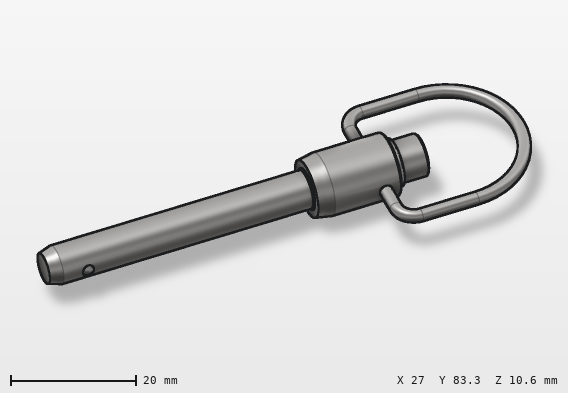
import cadquery as cq


shank_radius = 3.25
tip_radius = 2.6
tip_length = 2.2
root_flare = 0.25

ball_radius = 1.2
ball_y = 6.4
ball_reach = 3.75

body_radius = 5.3
body_start = 45.6
body_length = 14.3
body_end = body_start + body_length
taper_length = 2.75
taper_radius = 4.8
body_edge = 0.25

collar_base_radius = 4.3
collar_top_radius = 4.0
collar_length = 1.0
collar_end = body_end + collar_length
button_radius = 3.6
button_end = 65.4
button_edge = 0.25

overall_length = 83.3
ring_width = 27.0
wire_radius = 1.1
corner_radius = 3.1
arch_radius = ring_width / 2 - wire_radius
arch_center_y = overall_length - ring_width / 2
ring_base_y = 57.05


def make_pin():
    """Shank, body, collar and button as one revolved profile."""
    profile = (
        cq.Workplane("XY")
        .lineTo(tip_radius, 0)
        .lineTo(shank_radius, tip_length)
        .lineTo(shank_radius, body_start - root_flare)
        .lineTo(shank_radius + root_flare, body_start)
        .lineTo(taper_radius, body_start)
        .lineTo(body_radius, body_start + taper_length)
        .lineTo(body_radius, body_end - body_edge)
        .lineTo(body_radius - body_edge, body_end)
        .lineTo(collar_base_radius, body_end)
        .lineTo(collar_top_radius, collar_end)
        .lineTo(button_radius, collar_end)
        .lineTo(button_radius, button_end - button_edge)
        .lineTo(button_radius - button_edge, button_end)
        .lineTo(0, button_end)
        .close()
    )
    return profile.revolve(360, (0, 0, 0), (0, 1, 0))


def make_balls():
    """Pair of locking balls protruding from opposite sides of the shank."""
    ball_x = ball_reach - ball_radius
    centers = [(-ball_x, ball_y), (ball_x, ball_y)]
    return cq.Workplane("XY").pushPoints(centers).sphere(ball_radius)


def make_ring():
    """Round wire bent into a D, with its straight base through the body."""
    bend_x = arch_radius - corner_radius
    bend_y = ring_base_y + corner_radius
    path = (
        cq.Workplane("XY")
        .moveTo(0, ring_base_y)
        .lineTo(bend_x, ring_base_y)
        .radiusArc((arch_radius, bend_y), -corner_radius)
        .lineTo(arch_radius, arch_center_y)
        .threePointArc((0, arch_center_y + arch_radius), (-arch_radius, arch_center_y))
        .lineTo(-arch_radius, bend_y)
        .radiusArc((-bend_x, ring_base_y), -corner_radius)
        .close()
    )
    section = cq.Workplane("YZ").center(ring_base_y, 0).circle(wire_radius)
    return section.sweep(path)


result = make_pin().union(make_balls()).union(make_ring())